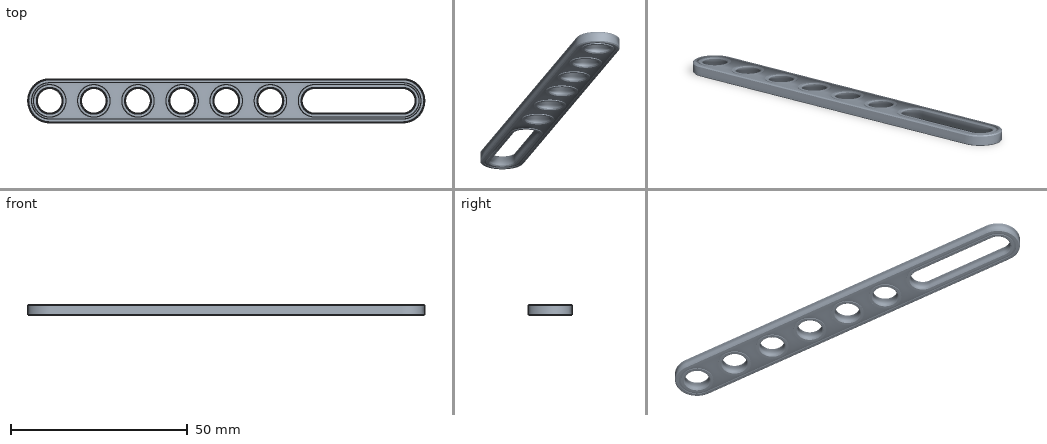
import cadquery as cq

pitch = 12.5
bar_width = pitch
thickness = pitch / 4
pitch_count = 8
first_hole_x = -pitch_count * pitch / 2
chamfer_size = 0.3

opening_width = 7.0
hole_count = 6
slot_start_x = first_hole_x + hole_count * pitch
slot_end_x = -first_hole_x

recess_depth = 0.2
rim_width = 1.1
opening_rim_width = opening_width + 2 * rim_width


def stadium(start_x, end_x, width, bottom, height):
    """Upright prism whose rounded ends are centred on start_x and end_x."""
    spacing = end_x - start_x
    middle_x = (start_x + end_x) / 2
    base = cq.Workplane("XY", origin=(middle_x, 0, bottom))
    return base.slot2D(spacing + width, width).extrude(height)


def openings(width, bottom, height):
    """Prisms of the given width at every hole and at the slot."""
    hole_centers = [(first_hole_x + i * pitch, 0) for i in range(hole_count)]
    base = cq.Workplane("XY", origin=(0, 0, bottom))
    holes = base.pushPoints(hole_centers).circle(width / 2).extrude(height)
    return holes.union(stadium(slot_start_x, slot_end_x, width, bottom, height))


def recess(bottom):
    """Material between the outer rim and the rims of the openings."""
    recess_width = bar_width - 2 * rim_width
    pocket = stadium(first_hole_x, slot_end_x, recess_width, bottom, recess_depth)
    return pocket.cut(openings(opening_rim_width, bottom, recess_depth))


bar = stadium(first_hole_x, slot_end_x, bar_width, 0, thickness)
bar = bar.cut(openings(opening_width, 0, thickness))
bar = bar.faces("<Z or >Z").chamfer(chamfer_size)

bottom_recess = recess(0)
top_recess = recess(thickness - recess_depth)
result = bar.cut(bottom_recess).cut(top_recess)